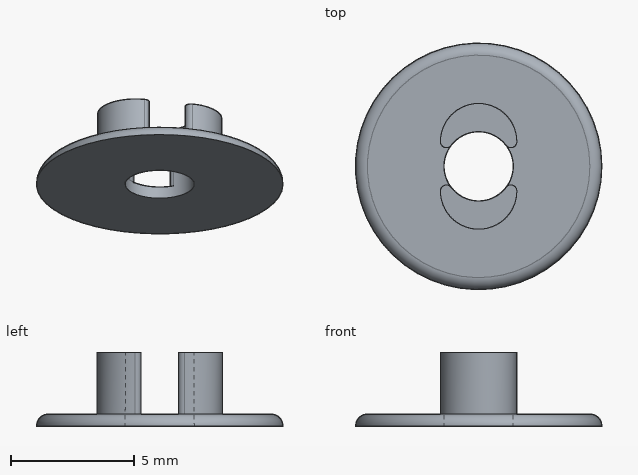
import cadquery as cq

plate_diameter = 10.0
plate_thickness = 0.5
rim_radius = 0.49
bore_diameter = 2.8

overall_height = 3.0
post_outer_radius = 1.55
post_center_y = 1.0

plate_radius = plate_diameter / 2
bore_radius = bore_diameter / 2

tip_radius = (post_outer_radius**2 + post_center_y**2 - bore_radius**2) / (
    2 * (post_outer_radius + bore_radius)
)
tip_center_x = post_outer_radius - tip_radius


def make_plate():
    """Plain disc with its upper rim rounded and the bore cut through it."""
    return (
        cq.Workplane("XY")
        .circle(plate_radius)
        .extrude(plate_thickness)
        .faces(">Z")
        .edges()
        .fillet(rim_radius)
        .faces(">Z")
        .workplane()
        .hole(bore_diameter)
    )


def make_post():
    """Crescent post on the +Y side, standing on the plate's upper face."""
    bore_to_tip = bore_radius + tip_radius
    touch_x = tip_center_x * bore_radius / bore_to_tip
    touch_y = post_center_y * bore_radius / bore_to_tip
    tip_bottom_y = post_center_y - tip_radius
    return (
        cq.Workplane("XY", origin=(0, 0, plate_thickness))
        .moveTo(post_outer_radius, post_center_y)
        .threePointArc((0, post_center_y + post_outer_radius), (-post_outer_radius, post_center_y))
        .threePointArc((-tip_center_x, tip_bottom_y), (-touch_x, touch_y))
        .threePointArc((0, bore_radius), (touch_x, touch_y))
        .threePointArc((tip_center_x, tip_bottom_y), (post_outer_radius, post_center_y))
        .close()
        .extrude(overall_height - plate_thickness)
    )


post = make_post()
result = make_plate().union(post).union(post.mirror("XZ"))